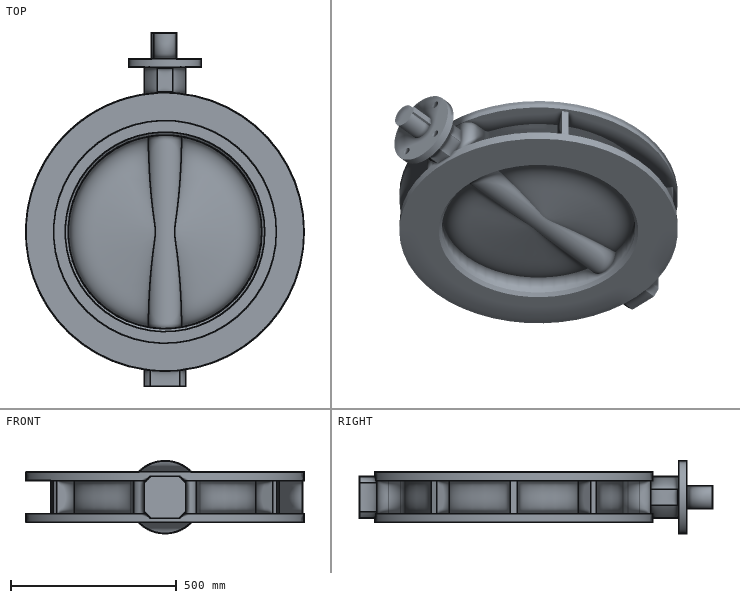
import cadquery as cq
import math


housing_radius = 420
housing_width = 152
rim_thickness = 26
web_radius = 345
liner_radius = 336
groove_width = housing_width - 2 * rim_thickness

rib_angles = (36, 144, 216, 324)
rib_thickness = 20
rib_end_radius = 410
side_rib_end = 415

boss_half_width = 94
boss_end = 413
boss_corner_radius = 35
boss_root_fillet = 15

neck_size = 126
neck_chamfer = 39
neck_pad_height = 1
neck_pad_end_gap = 3
cap_chamfer = 19
cap_end = -466

mount_radius = 110
mount_face = 522
mount_thickness = 25
mount_bolt_circle = 165
mount_hole_diameter = 22
mount_hole_count = 4

bore_radius = 292
bore_chamfer_width = 9
bore_chamfer_depth = 11

disc_rim_half_thickness = 5
disc_apex_height = 46
hub_radius = 51

stem_radius = 35
stem_end = 600
stem_foot = -boss_end
key_width = 22
key_height = 14
key_projection = 6
key_length = stem_end - mount_face


def disk(radius, height):
    """Cylinder along Z, centred on the XY plane."""
    return cq.Workplane("XY").circle(radius).extrude(height / 2, both=True)


def workplane_at_y(y):
    """Plane at a given Y, facing +Y."""
    return cq.Workplane("XZ", origin=(0, y, 0)).transformed(rotate=(180, 0, 0))


def rod(radius, y_start, y_end):
    """Cylinder along Y."""
    return workplane_at_y(y_start).circle(radius).extrude(y_end - y_start)


def chamfered_bar(size, chamfer, y_start, y_end):
    """Square bar along Y with its four long edges chamfered."""
    bar = workplane_at_y(y_start).rect(size, size).extrude(y_end - y_start)
    return bar.edges("|Y").chamfer(chamfer)


def make_rib(end_radius):
    """Rib pointing along +X, running outward from inside the web."""
    length = end_radius - liner_radius
    rib = cq.Workplane("XY").box(length, rib_thickness, groove_width)
    return rib.translate((liner_radius + length / 2, 0, 0))


def make_boss():
    """Stem boss on the +Y side, blended into the web by a fillet on each flank."""
    fillet_x = boss_half_width + boss_root_fillet
    fillet_centre_radius = web_radius + boss_root_fillet
    fillet_y = math.sqrt(fillet_centre_radius**2 - fillet_x**2)
    web_x = fillet_x * web_radius / fillet_centre_radius
    web_y = fillet_y * web_radius / fillet_centre_radius

    toward_web = math.atan2(-fillet_y, -fillet_x)
    toward_flank = -math.pi
    middle_angle = (toward_web + toward_flank) / 2
    middle_x = fillet_x + boss_root_fillet * math.cos(middle_angle)
    middle_y = fillet_y + boss_root_fillet * math.sin(middle_angle)

    inner_y = web_y - boss_root_fillet
    outline = (
        cq.Workplane("XY")
        .moveTo(-web_x, inner_y)
        .lineTo(web_x, inner_y)
        .lineTo(web_x, web_y)
        .threePointArc((middle_x, middle_y), (boss_half_width, fillet_y))
        .lineTo(boss_half_width, boss_end - boss_corner_radius)
        .radiusArc((boss_half_width - boss_corner_radius, boss_end), -boss_corner_radius)
        .lineTo(boss_corner_radius - boss_half_width, boss_end)
        .radiusArc((-boss_half_width, boss_end - boss_corner_radius), -boss_corner_radius)
        .lineTo(-boss_half_width, fillet_y)
        .threePointArc((-middle_x, middle_y), (-web_x, web_y))
        .close()
    )
    return outline.extrude(groove_width / 2, both=True)


def make_neck():
    """Octagonal neck with a low raised pad on each of its four main flats.

    Every pad stops short of the mounting flange. The side pads run into the boss,
    while the upper and lower pads also stop short of the housing rims.
    """
    neck_end = mount_face - mount_thickness
    core_size = neck_size - 2 * neck_pad_height
    core_chamfer = neck_chamfer - neck_pad_height
    neck = chamfered_bar(core_size, core_chamfer, web_radius, neck_end)

    pad_width = neck_size - 2 * neck_chamfer
    pad_end = neck_end - neck_pad_end_gap
    side_pad_length = pad_end - web_radius
    upper_pad_length = pad_end - (housing_radius + neck_pad_end_gap)
    side_pads = cq.Workplane("XY").box(neck_size, side_pad_length, pad_width)
    upper_lower_pads = cq.Workplane("XY").box(pad_width, upper_pad_length, neck_size)
    neck = neck.union(side_pads.translate((0, pad_end - side_pad_length / 2, 0)))
    neck = neck.union(upper_lower_pads.translate((0, pad_end - upper_pad_length / 2, 0)))
    return neck


def make_mounting_flange():
    plate = rod(mount_radius, mount_face - mount_thickness, mount_face)
    return (
        plate.faces(">Y")
        .workplane(origin=(0, mount_face, 0))
        .polarArray(mount_bolt_circle / 2, 180 / mount_hole_count, 360, mount_hole_count)
        .hole(mount_hole_diameter)
    )


def make_housing():
    body = disk(web_radius, housing_width)
    rim_offset = (housing_width - rim_thickness) / 2
    for z in (-rim_offset, rim_offset):
        body = body.union(disk(housing_radius, rim_thickness).translate((0, 0, z)))
    for angle in rib_angles:
        body = body.union(make_rib(rib_end_radius).rotate((0, 0, 0), (0, 0, 1), angle))
    body = body.union(make_rib(side_rib_end))
    boss = make_boss()
    body = body.union(boss).union(boss.mirror("XZ"))
    body = body.union(make_neck())
    body = body.union(chamfered_bar(neck_size, cap_chamfer, cap_end, -web_radius))
    body = body.union(make_mounting_flange())
    return body.cut(disk(liner_radius, housing_width)).cut(rod(stem_radius, stem_foot, mount_face))


def make_liner():
    top = housing_width / 2
    chamfer_start = top - bore_chamfer_depth
    mouth_radius = bore_radius + bore_chamfer_width
    profile = [
        (liner_radius, -top),
        (liner_radius, top),
        (mouth_radius, top),
        (bore_radius, chamfer_start),
        (bore_radius, -chamfer_start),
        (mouth_radius, -top),
    ]
    ring = cq.Workplane("XZ").polyline(profile).close().revolve(360, (0, 0, 0), (0, 1, 0))
    return ring.cut(rod(stem_radius, -liner_radius, liner_radius))


def make_disc():
    profile = [
        (0, -disc_apex_height),
        (bore_radius, -disc_rim_half_thickness),
        (bore_radius, disc_rim_half_thickness),
        (0, disc_apex_height),
    ]
    cones = cq.Workplane("XZ").polyline(profile).close().revolve(360, (0, 0, 0), (0, 1, 0))
    hub = rod(hub_radius, -bore_radius, bore_radius).intersect(disk(bore_radius, 2 * hub_radius))
    return cones.union(hub).cut(rod(stem_radius, -bore_radius, bore_radius))


def make_key():
    block = cq.Workplane("XY").box(key_height, key_length, key_width)
    key_x = -(stem_radius + key_projection - key_height / 2)
    return block.translate((key_x, stem_end - key_length / 2, 0))


housing = make_housing()
liner = make_liner()
disc = make_disc()
key = make_key()
stem = rod(stem_radius, stem_foot, stem_end).cut(key)

result = cq.Compound.makeCompound(
    [housing.val(), liner.val(), disc.val(), stem.val(), key.val()]
)